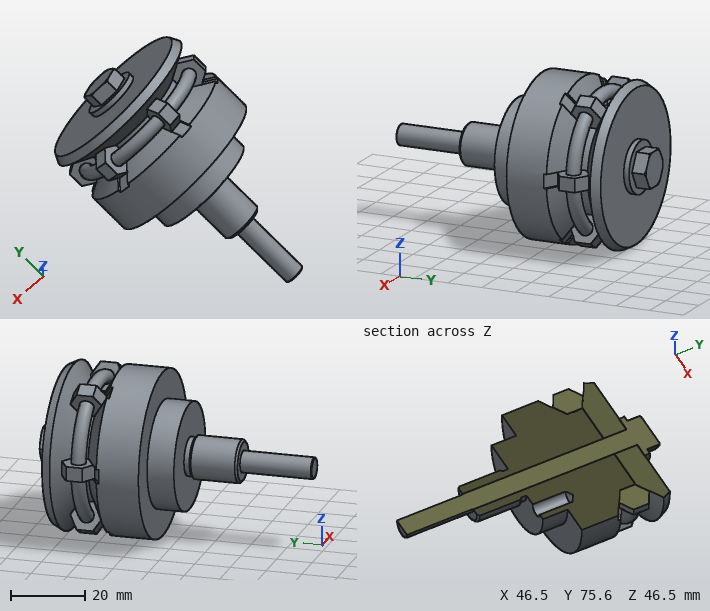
import cadquery as cq
import math

SLOPE = math.tan(math.radians(30))

outer_radius = 46.5 / 2
lug_flats = 8.0
lug_thickness = 4.0
lug_count = 6
ring_wire_radius = 2.0
ring_radius = outer_radius - lug_flats / 2
lug_corner = lug_flats / math.sqrt(3)
lug_inner_radius = ring_radius - lug_flats / 2

core_radius = lug_inner_radius
core_top = lug_corner / 2
cover_rim = core_top + (outer_radius - core_radius) * SLOPE
cover_back = 9.45
cover_back_radius = 22.0

wheel_rim = -6.15
flank_start = wheel_rim + (outer_radius - core_radius) * SLOPE
wheel_front = -18.0
hub_radius = 15.0
hub_front = wheel_front - 7.5
boss_radius = 6.0
boss_front = hub_front - 15.0
boss_chamfer = 0.6
neck_radius = boss_radius - boss_chamfer
neck_front = hub_front - 1.5
pin_hole_diameter = 4.0
pin_hole_offset = 11.0
pin_hole_depth = 10.0
drill_point_angle = 118.0

bolt_radius = 3.0
bolt_length = 70.0
bolt_tip_chamfer = 0.25
bolt_flange_radius = 7.5
bolt_flange_height = 1.6
bolt_head_height = 4.0
bolt_head_flats = 10.0
bolt_head_corner = bolt_head_flats / math.sqrt(3)
bolt_head_bevel = 0.5
bolt_tip = cover_back - bolt_length
bolt_flange_back = cover_back + bolt_flange_height
bolt_head_back = bolt_flange_back + bolt_head_height


def turned(profile):
    """Revolve a closed profile of (radius, y) points about the Y axis."""
    return cq.Workplane("XY").polyline(profile).close().revolve(360, (0, 0, 0), (0, 1, 0))


def around_axis(body):
    """Yield one copy of the body for each lug position."""
    for index in range(lug_count):
        yield body.rotate((0, 0, 0), (0, 1, 0), index * 360 / lug_count)


def make_lug_ring():
    ring = (
        cq.Workplane("XY")
        .center(ring_radius, 0)
        .circle(ring_wire_radius)
        .revolve(360, (-ring_radius, 0, 0), (-ring_radius, 1, 0))
    )
    lug = (
        cq.Workplane("XY")
        .center(ring_radius, 0)
        .transformed(rotate=(0, 0, 90))
        .polygon(6, 2 * lug_corner)
        .extrude(lug_thickness / 2, both=True)
    )
    for placed_lug in around_axis(lug):
        ring = ring.union(placed_lug)
    return ring


def make_cover():
    return turned([
        (bolt_radius, core_top),
        (core_radius, core_top),
        (outer_radius, cover_rim),
        (cover_back_radius, cover_back),
        (bolt_radius, cover_back),
    ])


def make_lug_slot():
    """Cutter whose floor runs along the lower inner face of a lug."""
    clearance = 1.0
    slot_outer_radius = outer_radius + clearance
    slot_inner_floor = -lug_corner / 2
    slot_outer_floor = slot_inner_floor - (slot_outer_radius - lug_inner_radius) * SLOPE
    return (
        cq.Workplane("XY")
        .polyline([
            (lug_inner_radius, slot_inner_floor),
            (slot_outer_radius, slot_outer_floor),
            (slot_outer_radius, 0),
            (lug_inner_radius, 0),
        ])
        .close()
        .extrude(lug_thickness / 2, both=True)
    )


def make_pin_hole():
    """Cutter for the blind drilled hole in the hub face."""
    radius = pin_hole_diameter / 2
    point_depth = radius / math.tan(math.radians(drill_point_angle / 2))
    cutter = turned([
        (0, hub_front),
        (radius, hub_front),
        (radius, hub_front + pin_hole_depth),
        (0, hub_front + pin_hole_depth + point_depth),
    ])
    return cutter.translate((pin_hole_offset, 0, 0))


def make_wheel():
    wheel = turned([
        (bolt_radius, core_top),
        (core_radius, core_top),
        (core_radius, flank_start),
        (outer_radius, wheel_rim),
        (outer_radius, wheel_front),
        (hub_radius, wheel_front),
        (hub_radius, hub_front),
        (neck_radius, hub_front),
        (neck_radius, neck_front),
        (boss_radius, neck_front - boss_chamfer),
        (boss_radius, boss_front + boss_chamfer),
        (boss_radius - boss_chamfer, boss_front),
        (bolt_radius, boss_front),
    ])
    for slot in around_axis(make_lug_slot()):
        wheel = wheel.cut(slot)
    return wheel.cut(make_pin_hole())


def make_bolt():
    shank = turned([
        (0, bolt_tip),
        (bolt_radius - bolt_tip_chamfer, bolt_tip),
        (bolt_radius, bolt_tip + bolt_tip_chamfer),
        (bolt_radius, cover_back),
        (bolt_flange_radius, cover_back),
        (bolt_flange_radius, bolt_flange_back),
        (0, bolt_flange_back),
    ])
    head = (
        cq.Workplane("XZ", origin=(0, bolt_flange_back, 0))
        .polygon(6, 2 * bolt_head_corner)
        .extrude(-bolt_head_height)
    )
    bevel_envelope = turned([
        (0, bolt_flange_back),
        (bolt_head_corner, bolt_flange_back),
        (bolt_head_corner, bolt_head_back - bolt_head_bevel * SLOPE),
        (bolt_head_corner - bolt_head_bevel, bolt_head_back),
        (0, bolt_head_back),
    ])
    return shank.union(head.intersect(bevel_envelope))


lug_ring = make_lug_ring()
cover = make_cover()
wheel = make_wheel()
bolt = make_bolt()

result = cq.Compound.makeCompound([
    *lug_ring.solids().vals(),
    *cover.solids().vals(),
    *wheel.solids().vals(),
    *bolt.solids().vals(),
])